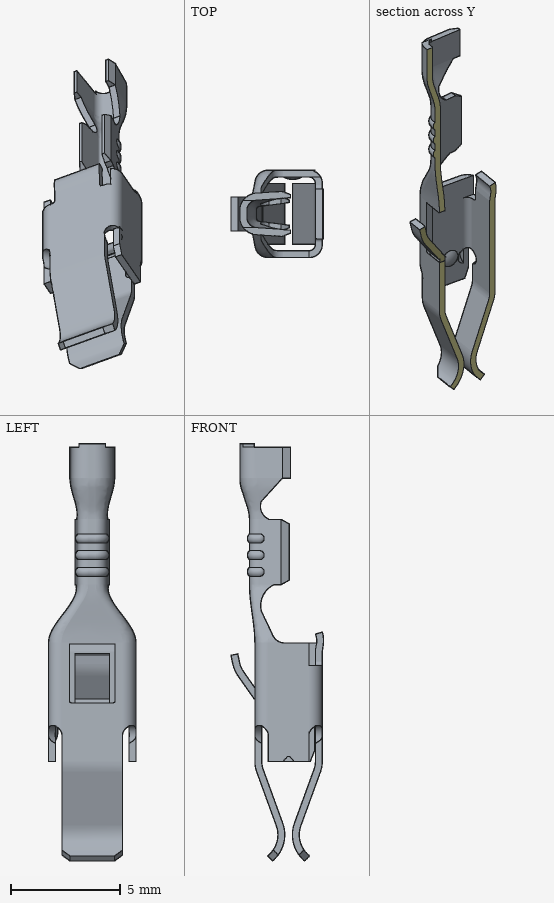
import cadquery as cq
import math

SHEET = 0.32
BOX_DEPTH = 3.09
BOX_WIDTH = 4.0
BOX_TOP = 9.97
BOX_BOTTOM = 4.54
CORNER_RADIUS = 0.61
HALF_WIDTH = BOX_WIDTH / 2
FLAT_HALF = HALF_WIDTH - CORNER_RADIUS
BACK_INNER = BOX_DEPTH - SHEET
SIDE_INNER = HALF_WIDTH - SHEET

RELIEF_TOP = 6.2
RELIEF_RADIUS = CORNER_RADIUS / math.sqrt(2)
RELIEF_CENTRE = RELIEF_TOP - RELIEF_RADIUS

WINDOW_HALF = 1.05
WINDOW_SILL = 7.23
WINDOW_HEAD = 9.92
WINDOW_FILLET = 0.11

TAB_HALF = 1.15
NOTCH_FLOOR = 8.95
NOTCH_FILLET = 0.17
TAB_BEND = 9.57
TAB_TOP = 10.47
TAB_BULGE = 0.05
TAB_SHOULDER = TAB_BEND + 0.27
TAB_SHOULDER_SHIFT = 0.04
TAB_TOP_DROP = 0.1

FOOT_NOTCH_HALF = 0.27
FOOT_NOTCH_FLAT = 0.05
FOOT_NOTCH_HEIGHT = 0.23

TONGUE_REACH = 2.75
TONGUE_FOOT = 2.54
TONGUE_SLOPE_TOP = 5.07

SPRING_ANGLE = 20.0
SPRING_BEND_RADIUS = 1.16
SPRING_LENGTH = 2.63
MOUTH_RADIUS = 1.37
MOUTH_ANGLE = 45.0
TIP_CHAMFER = 0.38

LANCE_WIDTH = 1.56
LANCE_TOP = 9.44
LANCE_TOP_X = -0.93
LANCE_TIP_LENGTH = 0.42
LANCE_TIP_ANGLE = 12.0
LANCE_BEND_RADIUS = 1.25
LANCE_ANGLE = 35.0
LANCE_REACH = 1.77
FOOT_TOP = 7.4
FOOT_SLANT = 0.029

BUMP_X = 1.74
BUMP_Z = 5.91
BUMP_RADIUS = 0.42
BUMP_HEIGHT = 0.11

TERMINAL_TOP = 19.07
INSULATION_TOP = 18.92
INSULATION_BOTTOM = 17.49
CONDUCTOR_TOP = 15.62
CONDUCTOR_BOTTOM = 12.62
INSULATION_TIP = 1.64
CONDUCTOR_TIP = 1.58
CONDUCTOR_TIP_TOP = 15.4
CONDUCTOR_TIP_BOTTOM = 12.83
WING_BEVEL_LENGTH = 0.38
WING_BEVEL_DEPTH = 0.15
CUTOFF_HALF = 0.61
THROAT_X = 0.3
UPPER_THROAT_TOP = 16.44
UPPER_THROAT_BOTTOM = 15.98
UPPER_THROAT_END = 0.65
LOWER_THROAT_MID_X = 0.36
LOWER_THROAT_TOP = 12.09
LOWER_THROAT_BOTTOM = 11.42
LOWER_THROAT_START = 0.88
LOWER_FLARE = (0.8, 10.37)
LOWER_FLARE_MID = (1.01, 10.09)
LOWER_FLARE_END = 1.3
STATIONS = 6
CHANNEL_OPEN = 2.29

INSULATION_CHANNEL = (-0.69, 0.95, 0.8, 0.07)
CONDUCTOR_CHANNEL = (-0.25, 0.67, 0.5, 0.13)
BOX_CHANNEL = (0.0, HALF_WIDTH, CORNER_RADIUS, 0.0)

RIB_COUNT = 3
RIB_TOP = 14.75
RIB_PITCH = 0.76
RIB_RADIUS = 0.27
RIB_RISE = 0.1


def block(x0, x1, y0, y1, z0, z1):
    return cq.Workplane("XY").box(x1 - x0, y1 - y0, z1 - z0, centered=False).translate((x0, y0, z0))


def prism_along_y(sketch, y0, y1):
    """Extrude a closed XZ wire from y0 to y1."""
    return sketch.extrude(y0 - y1).translate((0, y0, 0))


def bent_strip(x, z, lean, moves, width):
    """Sheet strip centred on Y = 0 that runs down from (x, z).

    lean is the angle from straight down towards +X. Each move is (length, None) for a straight
    or (radius, new lean) for a bend.
    """
    path = cq.Workplane("XZ").moveTo(x, z)
    start = cq.Plane(origin=(x, 0, z), xDir=(0, 1, 0),
                     normal=(math.sin(math.radians(lean)), 0, -math.cos(math.radians(lean))))
    for size, new_lean in moves:
        now = math.radians(lean)
        if new_lean is None:
            x += size * math.sin(now)
            z -= size * math.cos(now)
            path = path.lineTo(x, z)
            continue
        then = math.radians(new_lean)
        radius = math.copysign(size, new_lean - lean)

        def along(angle):
            return (x + radius * (math.cos(now) - math.cos(angle)),
                    z - radius * (math.sin(angle) - math.sin(now)))

        middle = along((now + then) / 2)
        end = along(then)
        path = path.threePointArc(middle, end)
        x, z = end
        lean = new_lean
    return cq.Workplane(start).rect(width, SHEET).sweep(path)


def box_tube():
    def rounded(inset, radius):
        return (cq.Workplane("XY").workplane(offset=BOX_BOTTOM).center(BOX_DEPTH / 2, 0)
                .rect(BOX_DEPTH - 2 * inset, BOX_WIDTH - 2 * inset)
                .extrude(BOX_TOP - BOX_BOTTOM).edges("|Z").fillet(radius))

    return rounded(0, CORNER_RADIUS).cut(rounded(SHEET, CORNER_RADIUS - SHEET))


def corner_reliefs():
    """Round-topped slots that free the springs from the side walls."""
    cuts = cq.Workplane("XY")
    for x_corner, x_side in ((0, 1), (BOX_DEPTH, -1)):
        for y_side in (1, -1):
            x_flat = x_corner + x_side * CORNER_RADIUS
            y_flat = y_side * FLAT_HALF
            y_edge = y_side * HALF_WIDTH
            cuts = cuts.union(block(min(x_corner, x_flat), max(x_corner, x_flat),
                                    min(y_flat, y_edge), max(y_flat, y_edge),
                                    BOX_BOTTOM, RELIEF_CENTRE))
            across = cq.Plane(origin=(x_flat, y_flat, RELIEF_CENTRE), xDir=(0, 0, 1),
                              normal=(-x_side, y_side, 0))
            cuts = cuts.union(cq.Workplane(across).circle(RELIEF_RADIUS).extrude(2 * CORNER_RADIUS))
    return cuts


def side_tongue():
    """Sloped end of the +Y side wall beside the rear spring."""
    outline = (cq.Workplane("XZ").moveTo(BOX_DEPTH - CORNER_RADIUS, BOX_BOTTOM)
               .lineTo(TONGUE_FOOT, BOX_BOTTOM).lineTo(TONGUE_REACH, TONGUE_SLOPE_TOP)
               .lineTo(TONGUE_REACH, RELIEF_TOP).lineTo(BOX_DEPTH - CORNER_RADIUS, RELIEF_TOP).close())
    return prism_along_y(outline, SIDE_INNER, HALF_WIDTH)


def window():
    opening = block(0, SHEET, -WINDOW_HALF, WINDOW_HALF, WINDOW_SILL, WINDOW_HEAD)
    return opening.edges("|X and <Z").fillet(WINDOW_FILLET)


def tab_notches():
    """Cuts on both sides of the latch tab; the -Y one takes the whole corner bend."""
    right = block(BOX_DEPTH - CORNER_RADIUS, BOX_DEPTH, -HALF_WIDTH, -TAB_HALF, NOTCH_FLOOR, BOX_TOP)
    left = block(BACK_INNER - SHEET, BOX_DEPTH, TAB_HALF, SIDE_INNER, NOTCH_FLOOR, BOX_TOP)
    right = right.edges("|X and <Z and >Y").fillet(NOTCH_FILLET)
    left = left.edges("|X and <Z and <Y").fillet(NOTCH_FILLET)
    return right.union(left)


def latch_tab():
    """Bowed tab that leans out of the back wall and curls back in at its top edge."""
    middle = (TAB_SHOULDER + TAB_TOP) / 2
    outline = (cq.Workplane("XZ").moveTo(BACK_INNER, TAB_BEND).lineTo(BOX_DEPTH, TAB_BEND)
               .lineTo(BOX_DEPTH + TAB_SHOULDER_SHIFT, TAB_SHOULDER)
               .threePointArc((BOX_DEPTH + TAB_BULGE, middle), (BOX_DEPTH, TAB_TOP))
               .lineTo(BACK_INNER, TAB_TOP - TAB_TOP_DROP)
               .threePointArc((BACK_INNER + TAB_BULGE, middle),
                              (BACK_INNER + TAB_SHOULDER_SHIFT, TAB_SHOULDER))
               .close())
    return prism_along_y(outline, -TAB_HALF, TAB_HALF)


def foot_notch():
    middle = BOX_DEPTH / 2
    outline = (cq.Workplane("XZ").moveTo(middle - FOOT_NOTCH_HALF, BOX_BOTTOM)
               .lineTo(middle - FOOT_NOTCH_FLAT, BOX_BOTTOM + FOOT_NOTCH_HEIGHT)
               .lineTo(middle + FOOT_NOTCH_FLAT, BOX_BOTTOM + FOOT_NOTCH_HEIGHT)
               .lineTo(middle + FOOT_NOTCH_HALF, BOX_BOTTOM).close())
    return prism_along_y(outline, -HALF_WIDTH, -SIDE_INNER)


def box():
    tab_base = block(BACK_INNER, BOX_DEPTH, -TAB_HALF, TAB_HALF, TAB_BEND, BOX_TOP)
    body = box_tube().cut(corner_reliefs()).union(side_tongue())
    body = body.cut(window()).cut(tab_notches()).cut(foot_notch())
    return body.cut(tab_base).union(latch_tab())


def front_spring():
    """Spring below the lance wall; its tip ends exactly on Z = 0."""
    lean = math.radians(SPRING_ANGLE)
    mouth = math.radians(MOUTH_ANGLE)
    drop = (SPRING_BEND_RADIUS * math.sin(lean) + SPRING_LENGTH * math.cos(lean)
            + MOUTH_RADIUS * (math.sin(lean) + math.sin(mouth)) + SHEET / 2 * math.sin(mouth))
    tip_length = (BOX_BOTTOM - drop) / math.cos(mouth)
    moves = [(SPRING_BEND_RADIUS, SPRING_ANGLE), (SPRING_LENGTH, None),
             (MOUTH_RADIUS, -MOUTH_ANGLE), (tip_length, None)]
    spring = bent_strip(SHEET / 2, BOX_BOTTOM, 0, moves, 2 * FLAT_HALF)
    along_tip = cq.Vector(-math.sin(mouth), 0, -math.cos(mouth))
    end_face = spring.faces(cq.selectors.DirectionMinMaxSelector(along_tip, True))
    return end_face.edges("not |Y").chamfer(TIP_CHAMFER)


def springs():
    front = front_spring()
    rear = front.mirror("YZ", (BOX_DEPTH / 2, 0, 0))
    return front.union(rear)


def channel_wire(channel, z, inset):
    """Closed outline of a round-cornered channel open towards +X, inset from its outer skin."""
    floor, half, radius, flare = channel
    floor += inset
    half -= inset
    radius -= inset
    bend = radius * (1 - math.sqrt(0.5))
    side_x = floor + radius
    flat = half - radius
    open_half = half + flare * (CHANNEL_OPEN - side_x)
    return (cq.Workplane("XY").workplane(offset=z).moveTo(floor, -flat).lineTo(floor, flat)
            .threePointArc((floor + bend, half - bend), (side_x, half))
            .lineTo(CHANNEL_OPEN, open_half).lineTo(CHANNEL_OPEN, -open_half).lineTo(side_x, -half)
            .threePointArc((floor + bend, bend - half), (floor, -flat)).close())


def straight_core(channel, z0, z1, inset):
    return channel_wire(channel, z0, inset).extrude(z1 - z0)


def blended_core(low, high, z0, z1, inset):
    """Loft from one channel to another along an S-curve that is level at both ends."""
    wires = []
    for station in range(STATIONS + 1):
        share = station / STATIONS
        ease = share * share * (3 - 2 * share)
        channel = [a + (b - a) * ease for a, b in zip(low, high)]
        wires.append(channel_wire(channel, z0 + (z1 - z0) * share, inset).val())
    return cq.Workplane(cq.Solid.makeLoft(wires))


def serration_ribs():
    """Round ribs bent around the conductor crimp, with ball ends."""
    floor, half, radius, _ = CONDUCTOR_CHANNEL
    sunk = RIB_RADIUS - RIB_RISE
    side_x = floor + radius
    floor += sunk
    half -= sunk
    radius -= sunk
    bend = radius * (1 - math.sqrt(0.5))
    flat = half - radius
    ribs = cq.Workplane("XY")
    for index in range(RIB_COUNT):
        z = RIB_TOP - index * RIB_PITCH
        path = (cq.Workplane("XY").workplane(offset=z).moveTo(side_x, -half)
                .threePointArc((floor + bend, bend - half), (floor, -flat)).lineTo(floor, flat)
                .threePointArc((floor + bend, half - bend), (side_x, half)))
        ribs = ribs.union(cq.Workplane("YZ", origin=(side_x, -half, z)).circle(RIB_RADIUS).sweep(path))
        for end in (-half, half):
            ribs = ribs.union(cq.Workplane("XY").sphere(RIB_RADIUS).translate((side_x, end, z)))
    return ribs


def stem_outline():
    """Side outline of the stem: the wings and the open throats between them."""
    back = INSULATION_CHANNEL[0] - SHEET
    insulation_bevel = INSULATION_TIP - WING_BEVEL_LENGTH
    conductor_bevel = CONDUCTOR_TIP - WING_BEVEL_LENGTH
    outline = (cq.Workplane("XZ").moveTo(back, BOX_TOP).lineTo(back, INSULATION_TOP)
               .lineTo(INSULATION_TIP, INSULATION_TOP).lineTo(INSULATION_TIP, INSULATION_BOTTOM)
               .lineTo(insulation_bevel, INSULATION_BOTTOM).lineTo(THROAT_X, UPPER_THROAT_TOP)
               .threePointArc((THROAT_X, UPPER_THROAT_BOTTOM), (UPPER_THROAT_END, CONDUCTOR_TOP))
               .lineTo(conductor_bevel, CONDUCTOR_TOP).lineTo(CONDUCTOR_TIP, CONDUCTOR_TIP_TOP)
               .lineTo(CONDUCTOR_TIP, CONDUCTOR_TIP_BOTTOM).lineTo(conductor_bevel, CONDUCTOR_BOTTOM)
               .lineTo(LOWER_THROAT_START, CONDUCTOR_BOTTOM)
               .threePointArc((LOWER_THROAT_MID_X, LOWER_THROAT_TOP), (THROAT_X, LOWER_THROAT_BOTTOM))
               .lineTo(*LOWER_FLARE).threePointArc(LOWER_FLARE_MID, (LOWER_FLARE_END, BOX_TOP)).close())
    return prism_along_y(outline, -BOX_WIDTH, BOX_WIDTH)


def wing_bevels(channel, tip, z0, z1):
    """Wedges that thin the wing ends from outside."""
    floor, half, radius, flare = channel
    cuts = cq.Workplane("XY")
    bevel_x = tip - WING_BEVEL_LENGTH
    bevel_y = half + flare * (bevel_x - floor - radius)
    for side in (1, -1):
        cuts = cuts.union(cq.Workplane("XY").workplane(offset=z0).moveTo(bevel_x, side * bevel_y)
                          .lineTo(tip, side * (bevel_y - WING_BEVEL_DEPTH))
                          .lineTo(tip, side * HALF_WIDTH).lineTo(bevel_x, side * HALF_WIDTH)
                          .close().extrude(z1 - z0))
    return cuts


def stem_core(inset):
    core = straight_core(INSULATION_CHANNEL, INSULATION_BOTTOM, TERMINAL_TOP, inset)
    core = core.union(straight_core(CONDUCTOR_CHANNEL, CONDUCTOR_BOTTOM, CONDUCTOR_TOP, inset))
    core = core.union(blended_core(CONDUCTOR_CHANNEL, INSULATION_CHANNEL,
                                   CONDUCTOR_TOP, INSULATION_BOTTOM, inset))
    return core.union(blended_core(BOX_CHANNEL, CONDUCTOR_CHANNEL, BOX_TOP, CONDUCTOR_BOTTOM, inset))


def stem():
    stub = block(INSULATION_CHANNEL[0], 0, -CUTOFF_HALF, CUTOFF_HALF, INSULATION_TOP, TERMINAL_TOP)
    outline = stem_outline().union(stub)
    body = stem_core(0).union(serration_ribs()).cut(stem_core(SHEET)).intersect(outline)
    body = body.cut(wing_bevels(INSULATION_CHANNEL, INSULATION_TIP, INSULATION_BOTTOM, INSULATION_TOP))
    return body.cut(wing_bevels(CONDUCTOR_CHANNEL, CONDUCTOR_TIP, CONDUCTOR_BOTTOM, CONDUCTOR_TOP))


def make_terminal():
    return box().union(springs()).union(stem())


def make_lance():
    """Locking lance that stands on the window sill on a low foot and leans out through the window."""
    moves = [(LANCE_TIP_LENGTH, None), (LANCE_BEND_RADIUS, LANCE_ANGLE), (LANCE_REACH, None)]
    strip = bent_strip(LANCE_TOP_X, LANCE_TOP, LANCE_TIP_ANGLE, moves, LANCE_WIDTH)
    below_foot = block(-BOX_DEPTH, BOX_DEPTH, -HALF_WIDTH, HALF_WIDTH, 0, FOOT_TOP)
    outline = (cq.Workplane("XZ").moveTo(0, WINDOW_SILL).lineTo(FOOT_SLANT, FOOT_TOP)
               .lineTo(SHEET, FOOT_TOP).lineTo(SHEET, WINDOW_SILL).close())
    foot = prism_along_y(outline, -LANCE_WIDTH / 2, LANCE_WIDTH / 2)
    return strip.cut(below_foot).union(foot)


def make_bump():
    """Low spherical cap on the inner face of the +Y side wall."""
    ball_radius = (BUMP_RADIUS ** 2 + BUMP_HEIGHT ** 2) / (2 * BUMP_HEIGHT)
    ball = cq.Workplane("XY").sphere(ball_radius).translate(
        (BUMP_X, SIDE_INNER - BUMP_HEIGHT + ball_radius, BUMP_Z))
    inside = block(0, BOX_DEPTH, 0, SIDE_INNER, BOX_BOTTOM, BOX_TOP)
    return ball.intersect(inside)


terminal = make_terminal()
lance = make_lance()
bump = make_bump()
result = cq.Compound.makeCompound([terminal.val(), lance.val(), bump.val()])